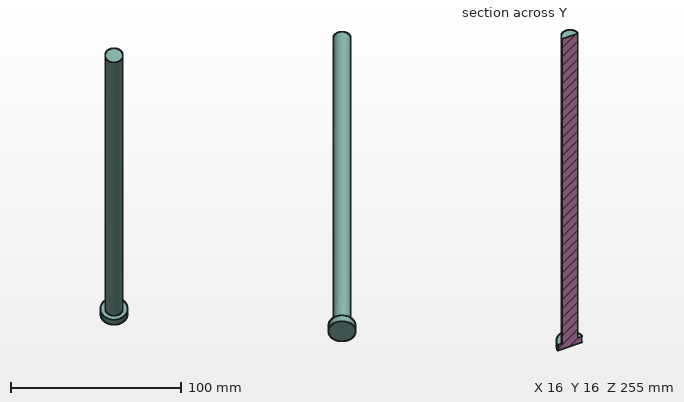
import cadquery as cq

total_length = 255.0
head_diameter = 16.0
head_height = 5.0
shaft_diameter = 10.5

head = cq.Workplane("XY").circle(head_diameter / 2).extrude(head_height)
shaft = cq.Workplane("XY").circle(shaft_diameter / 2).extrude(total_length)

result = head.union(shaft)